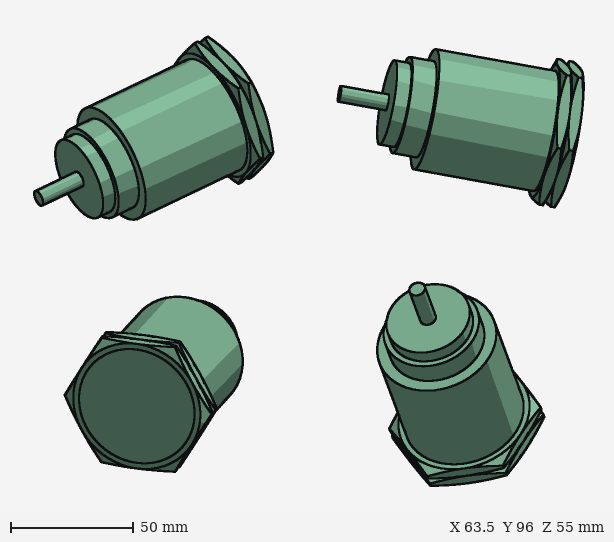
import cadquery as cq
import math

total_length = 96.0
cable_length = 20.0
cap_length = 6.0
collar_length = 10.0
nut_thickness = 5.0
barrel_diameter = 50.0
collar_diameter = 40.0
cap_diameter = 35.0
cable_diameter = 6.6
nut_across_flats = 55.0
nut_chamfer_depth = 1.7

nut_across_corners = nut_across_flats / math.cos(math.radians(30))
cap_start = cable_length
collar_start = cap_start + cap_length
barrel_start = collar_start + collar_length
nut_starts = [total_length - 2 * nut_thickness, total_length - nut_thickness]


def cylinder_along_y(diameter, start, length):
    """Solid cylinder on the Y axis from start toward +Y."""
    plane = cq.Workplane("XZ", origin=(0, start, 0))
    return plane.circle(diameter / 2).extrude(-length)


def make_sensor():
    """Stepped sensor body: barrel, collar, end cap and cable as one solid."""
    barrel = cylinder_along_y(barrel_diameter, barrel_start, total_length - barrel_start)
    collar = cylinder_along_y(collar_diameter, collar_start, collar_length)
    cap = cylinder_along_y(cap_diameter, cap_start, cap_length)
    cable = cylinder_along_y(cable_diameter, 0, cable_length)
    return barrel.union(collar).union(cap).union(cable)


def make_nut(start):
    """Hexagonal nut with conical chamfers on both faces, bored to fit the barrel."""
    end = start + nut_thickness
    flat_radius = nut_across_flats / 2
    corner_radius = nut_across_corners / 2
    hexagon = (
        cq.Workplane("XZ", origin=(0, start, 0))
        .polygon(6, nut_across_corners)
        .extrude(-nut_thickness)
    )
    chamfer_envelope = (
        cq.Workplane("XY")
        .moveTo(0, start)
        .lineTo(flat_radius, start)
        .lineTo(corner_radius, start + nut_chamfer_depth)
        .lineTo(corner_radius, end - nut_chamfer_depth)
        .lineTo(flat_radius, end)
        .lineTo(0, end)
        .close()
        .revolve(360, (0, 0, 0), (0, 1, 0))
    )
    bore = cylinder_along_y(barrel_diameter, start, nut_thickness)
    return hexagon.intersect(chamfer_envelope).cut(bore)


sensor = make_sensor()
nuts = [make_nut(start) for start in nut_starts]

result = cq.Compound.makeCompound([sensor.val(), *[nut.val() for nut in nuts]])